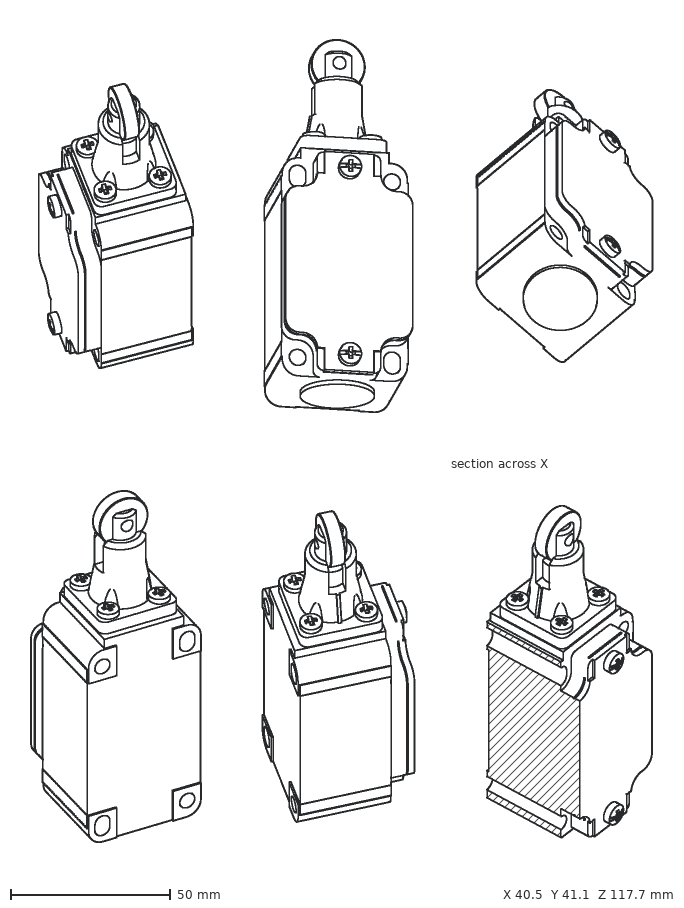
import cadquery as cq


case_width = 40.5
case_front_y = -13.9
case_back_y = 15.9
case_bottom_z = 1.4
lug_top_z = 73.7
case_mid_z = (case_bottom_z + lug_top_z) / 2
lug_width = 39.9
lug_corner_radius = 5.2
lug_straight = 1.1
step_half_height = lug_top_z - lug_corner_radius - lug_straight - case_mid_z
neck_width = 28.1
neck_top_z = 77.1

side_recess_depth = 0.1
pad_height = 11.2
pad_inner_x = 10.0
back_y = 16.5
recess_height = lug_top_z - case_bottom_z - 2 * pad_height

hole_diameter = 5.3
hole_x = 15.1
hole_pitch_z = 60.0
slot_length = 7.3

cover_front_y = -21.5
cover_depth = case_front_y - cover_front_y
tab_half_width = 10.1
tab_corner_radius = 2.0
cove_radius = 5.0
cover_corner_radius = 4.2
cover_shoulder_z = 61.8
groove_width = 0.4
groove_depth = 0.4
groove_y = -19.2
ear_width = 2.2
ear_recess = 0.8
ear_height = 7.2

screw_head_diameter = 7.0
screw_dome_height = 0.7
head_screw_height = 2.5
cover_screw_height = 3.1
screw_arm_width = 1.2
screw_arm_length = 4.4
screw_recess_depth = 1.4
driver_slot_depth = 0.7
cover_screw_pitch_z = 62.0
head_screw_offset = 9.1

flange_width = 27.5
flange_depth = 27.1
flange_corner_radius = 2.6
flange_top_z = 81.5
cone_bottom_diameter = 20.0
sleeve_diameter = 16.1
cone_top_z = 92.4
scallop_radius = 4.0
rib_width = 1.1
rib_projection = 0.6
sleeve_top_z = 104.0
sleeve_chamfer = 1.5
fork_diameter = 10.0
fork_top_z = 113.3
fork_chamfer = 1.1
fork_slot_width = 5.5
fork_slot_floor_z = 99.3

roller_diameter = 17.2
roller_width = 4.8
roller_chamfer = 0.2
pin_diameter = 4.1
overall_height = 117.7
roller_z = overall_height - roller_diameter / 2

boss_diameter = 23.3
boss_y = -0.8


def box(x_range, y_range, z_range):
    """Axis-aligned block between the given limits."""
    size = [high - low for low, high in (x_range, y_range, z_range)]
    corner = (x_range[0], y_range[0], z_range[0])
    return cq.Workplane("XY").box(*size, centered=False).translate(corner)


def front_plane(y):
    """Plane facing -Y at the given depth, centred on the case: local x is X, local y is Z."""
    return cq.Workplane("XZ", origin=(0, y, case_mid_z))


def make_case():
    """Case block with rounded lugs, neck, back pads and side recesses."""
    case_depth = case_back_y - case_front_y
    case = (
        front_plane(case_back_y)
        .rect(lug_width, lug_top_z - case_bottom_z)
        .extrude(case_depth)
        .edges("|Y")
        .fillet(lug_corner_radius)
    )
    case = case.union(front_plane(case_back_y).rect(case_width, 2 * step_half_height).extrude(case_depth))
    half_neck = neck_width / 2
    case = case.union(
        box((-half_neck, half_neck), (case_front_y, case_back_y), (case_bottom_z, neck_top_z))
    )
    for side in (-1, 1):
        recess_x = side * case_width / 2
        recess = front_plane(back_y).center(recess_x, 0).rect(2 * side_recess_depth, recess_height)
        case = case.cut(recess.extrude(back_y - case_front_y))
    return case.union(make_back_pads())


def make_back_pads():
    """Four raised corner pads on the back, following the rounded lugs."""
    pads = (
        front_plane(back_y)
        .rect(lug_width, lug_top_z - case_bottom_z)
        .extrude(back_y - case_back_y)
        .edges("|Y")
        .fillet(lug_corner_radius)
    )
    gap_depth = back_y - case_back_y
    pads = pads.cut(front_plane(back_y).rect(lug_width, recess_height).extrude(gap_depth))
    return pads.cut(front_plane(back_y).rect(2 * pad_inner_x, lug_top_z - case_bottom_z).extrude(gap_depth))


def cut_mounting_holes(case):
    """Round holes on one diagonal and upright slots on the other, through the case."""
    depth = back_y - case_front_y
    offset_z = hole_pitch_z / 2
    rounds = front_plane(back_y).pushPoints([(hole_x, offset_z), (-hole_x, -offset_z)])
    slots = front_plane(back_y).pushPoints([(-hole_x, offset_z), (hole_x, -offset_z)])
    case = case.cut(rounds.circle(hole_diameter / 2).extrude(depth))
    return case.cut(slots.slot2D(slot_length, hole_diameter, 90).extrude(depth))


def make_cover_quarter(y, depth, inset=0.0):
    """Upper +X quarter of the cover: end tab, cove and rounded shoulder, moved inwards by inset."""
    half_width = case_width / 2 - inset
    top = lug_top_z - case_mid_z - inset
    shoulder = cover_shoulder_z - case_mid_z - inset
    tab_x = tab_half_width - inset
    cove = cove_radius + inset
    corner = cover_corner_radius - inset
    tab_corner = tab_corner_radius - inset
    return (
        front_plane(y)
        .lineTo(0, top)
        .lineTo(tab_x - tab_corner, top)
        .radiusArc((tab_x, top - tab_corner), tab_corner)
        .lineTo(tab_x, shoulder + cove)
        .radiusArc((tab_x + cove, shoulder), -cove)
        .lineTo(half_width - corner, shoulder)
        .radiusArc((half_width, shoulder - corner), corner)
        .lineTo(half_width, 0)
        .close()
        .extrude(depth)
    )


def make_cover_slab(y, depth, inset=0.0):
    """Full cover outline, mirrored from one quarter, extruded towards -Y."""
    quarter = make_cover_quarter(y, depth, inset)
    half = quarter.union(quarter.mirror("YZ"))
    return half.union(half.mirror("XY", (0, 0, case_mid_z)))


def make_cover():
    """Cover with a shallow seam groove around its lid and low ears beside both end tabs."""
    cover = make_cover_slab(case_front_y, cover_depth)
    seam_back_y = groove_y + groove_width / 2
    seam = make_cover_slab(seam_back_y, groove_width).cut(
        make_cover_slab(seam_back_y, groove_width, groove_depth)
    )
    for side in (-1, 1):
        for end in (-1, 1):
            ear_z = end * (lug_top_z - case_mid_z - ear_height / 2)
            ear_x = side * (tab_half_width - ear_width / 2)
            ear = front_plane(case_front_y).center(ear_x, ear_z).rect(ear_width, ear_height)
            seam = seam.cut(ear.extrude(cover_depth))
            notch = front_plane(cover_front_y + ear_recess).center(ear_x, ear_z)
            cover = cover.cut(notch.rect(ear_width, ear_height).extrude(ear_recess))
    return cover.cut(seam)


def make_screw_head(height, slotted):
    """Domed round head on Z = 0 with a tapered cross recess, and a driver slot across it if slotted."""
    radius = screw_head_diameter / 2
    rim_z = height - screw_dome_height
    dome_radius = (radius**2 + screw_dome_height**2) / (2 * screw_dome_height)
    head = (
        cq.Workplane("XZ")
        .lineTo(radius, 0)
        .lineTo(radius, rim_z)
        .radiusArc((0, height), -dome_radius)
        .close()
        .revolve(360, (0, 0, 0), (0, 1, 0))
    )
    half_arm = screw_arm_length / 2
    half_width = screw_arm_width / 2
    arm = (
        cq.Workplane("XZ", origin=(0, half_width, 0))
        .moveTo(-half_arm, height)
        .lineTo(-half_width, height - screw_recess_depth)
        .lineTo(half_width, height - screw_recess_depth)
        .lineTo(half_arm, height)
        .close()
        .extrude(screw_arm_width)
    )
    head = head.cut(arm).cut(arm.rotate((0, 0, 0), (0, 0, 1), 90))
    if slotted:
        slot_floor_z = height - driver_slot_depth
        head = head.cut(box((-radius, radius), (-half_width, half_width), (slot_floor_z, height)))
    return head


def add_cover_screws(housing):
    """One screw head on each end tab of the cover, facing -Y."""
    head = make_screw_head(cover_screw_height, True).rotate((0, 0, 0), (1, 0, 0), 90)
    for end in (-1, 1):
        screw_z = case_mid_z + end * cover_screw_pitch_z / 2
        housing = housing.union(head.translate((0, cover_front_y, screw_z)))
    return housing


def head_screw_points():
    """Corner positions of the four head screws."""
    return [(x * head_screw_offset, y * head_screw_offset) for x in (-1, 1) for y in (-1, 1)]


def make_flange():
    """Square head flange with rounded corners."""
    return (
        cq.Workplane("XY", origin=(0, 0, neck_top_z))
        .rect(flange_width, flange_depth)
        .extrude(flange_top_z - neck_top_z)
        .edges("|Z")
        .fillet(flange_corner_radius)
    )


def make_cone():
    """Tapered turret with a rib on its -X side and scallops that clear the head screws."""
    cone_bottom_radius = cone_bottom_diameter / 2
    sleeve_radius = sleeve_diameter / 2
    profile = [
        (0, flange_top_z),
        (cone_bottom_radius, flange_top_z),
        (sleeve_radius, cone_top_z),
        (0, cone_top_z),
    ]
    cone = cq.Workplane("XZ").polyline(profile).close().revolve(360, (0, 0, 0), (0, 1, 0))
    rib_profile = [
        (0, flange_top_z),
        (-cone_bottom_radius - rib_projection, flange_top_z),
        (-sleeve_radius - rib_projection, cone_top_z),
        (0, cone_top_z),
    ]
    rib = cq.Workplane("XZ", origin=(0, rib_width / 2, 0)).polyline(rib_profile).close().extrude(rib_width)
    scallops = (
        cq.Workplane("XY", origin=(0, 0, flange_top_z))
        .pushPoints(head_screw_points())
        .circle(scallop_radius)
        .extrude(cone_top_z - flange_top_z)
    )
    return cone.union(rib).cut(scallops)


def make_fork():
    """Slotted sleeve around the plunger, whose forked end straddles the roller."""
    sleeve = (
        cq.Workplane("XY", origin=(0, 0, cone_top_z))
        .circle(sleeve_diameter / 2)
        .extrude(sleeve_top_z - cone_top_z)
        .faces(">Z")
        .chamfer(sleeve_chamfer)
    )
    plunger = (
        cq.Workplane("XY", origin=(0, 0, cone_top_z))
        .circle(fork_diameter / 2)
        .extrude(fork_top_z - cone_top_z)
        .faces(">Z")
        .chamfer(fork_chamfer)
    )
    slot_y = (-fork_slot_width / 2, fork_slot_width / 2)
    slot_x = (-sleeve_diameter / 2, sleeve_diameter / 2)
    sleeve = sleeve.cut(box(slot_x, slot_y, (cone_top_z, sleeve_top_z)))
    plunger = plunger.cut(box(slot_x, slot_y, (fork_slot_floor_z, fork_top_z)))
    return sleeve.union(plunger).cut(make_pin())


def make_pin():
    """Roller pin along Y, its ends flush with the round outside of the fork."""
    pin = (
        cq.Workplane("XZ", origin=(0, fork_diameter / 2, roller_z))
        .circle(pin_diameter / 2)
        .extrude(fork_diameter)
    )
    fork_round = cq.Workplane("XY").circle(fork_diameter / 2).extrude(fork_top_z)
    return pin.intersect(fork_round)


def make_roller():
    """Roller with bevelled rims, one body with its pin."""
    roller = (
        cq.Workplane("XZ", origin=(0, roller_width / 2, roller_z))
        .circle(roller_diameter / 2)
        .extrude(roller_width)
        .faces("<Y or >Y")
        .chamfer(roller_chamfer)
    )
    return roller.union(make_pin())


def make_housing():
    """Case, cover, screws, turret, fork and conduit boss as one body."""
    housing = cut_mounting_holes(make_case()).union(make_cover())
    boss = cq.Workplane("XY", origin=(0, boss_y, 0)).circle(boss_diameter / 2).extrude(case_bottom_z)
    housing = add_cover_screws(housing.union(boss))
    housing = housing.union(make_flange()).union(make_cone()).union(make_fork())
    screw = make_screw_head(head_screw_height, False)
    for x, y in head_screw_points():
        housing = housing.union(screw.translate((x, y, flange_top_z)))
    return housing


housing = make_housing()
roller = make_roller()
result = cq.Compound.makeCompound([housing.val(), roller.val()])